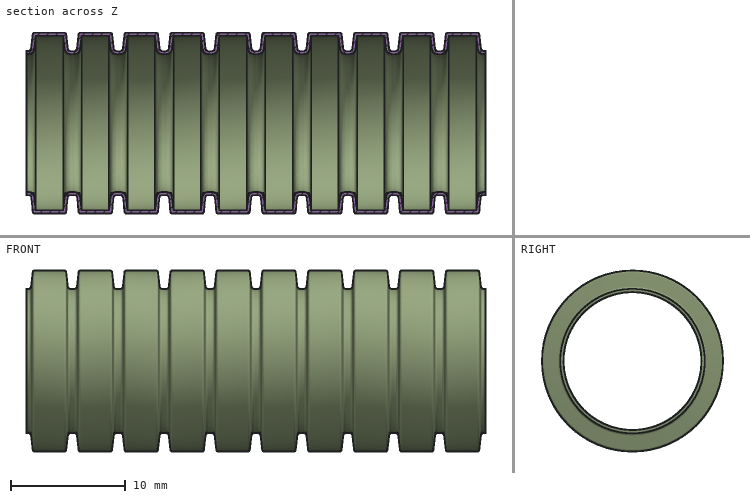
import cadquery as cq
import math

pitch = 4.0
crest_count = 10
length = pitch * crest_count

outer_diameter = 15.8
groove_diameter = 12.6
wall = 0.3
crest_radius = outer_diameter / 2
root_radius = groove_diameter / 2
bore_radius = root_radius - wall
crest_inner_radius = crest_radius - wall

crest_width = 2.9
flank_angle = 6.5
flank_slope = math.tan(math.radians(flank_angle))
flank_wall_shift = wall / math.cos(math.radians(flank_angle))

crest_fillet = 0.2
root_fillet = 0.2
bore_fillet = root_fillet + wall

radius_tolerance = 0.001


def corrugated_body(top_radius, base_radius, top_half_width):
    """Solid of revolution about X with evenly spaced trapezoidal ridges."""
    base_half_width = top_half_width + (top_radius - base_radius) * flank_slope
    points = [(-length / 2, 0), (-length / 2, base_radius)]
    for index in range(crest_count):
        center = -length / 2 + (index + 0.5) * pitch
        points += [
            (center - base_half_width, base_radius),
            (center - top_half_width, top_radius),
            (center + top_half_width, top_radius),
            (center + base_half_width, base_radius),
        ]
    points += [(length / 2, base_radius), (length / 2, 0)]
    return cq.Workplane("XZ").polyline(points).close().revolve(360, (0, 0, 0), (1, 0, 0))


def round_corners(body, corner_radius, fillet_radius):
    """Fillet the flank corners of the given radius, leaving the two end rims sharp."""
    corners = []
    for edge in body.edges("%CIRCLE").vals():
        at_radius = abs(edge.radius() - corner_radius) < radius_tolerance
        at_end = abs(edge.Center().x) > length / 2 - radius_tolerance
        if at_radius and not at_end:
            corners.append(edge)
    return body.newObject(corners).fillet(fillet_radius)


outer = corrugated_body(crest_radius, root_radius, crest_width / 2)
outer = round_corners(outer, crest_radius, crest_fillet)
outer = round_corners(outer, root_radius, root_fillet)

inner_half_width = crest_width / 2 + wall * flank_slope - flank_wall_shift
inner = corrugated_body(crest_inner_radius, bore_radius, inner_half_width)
inner = round_corners(inner, bore_radius, bore_fillet)

result = outer.cut(inner)